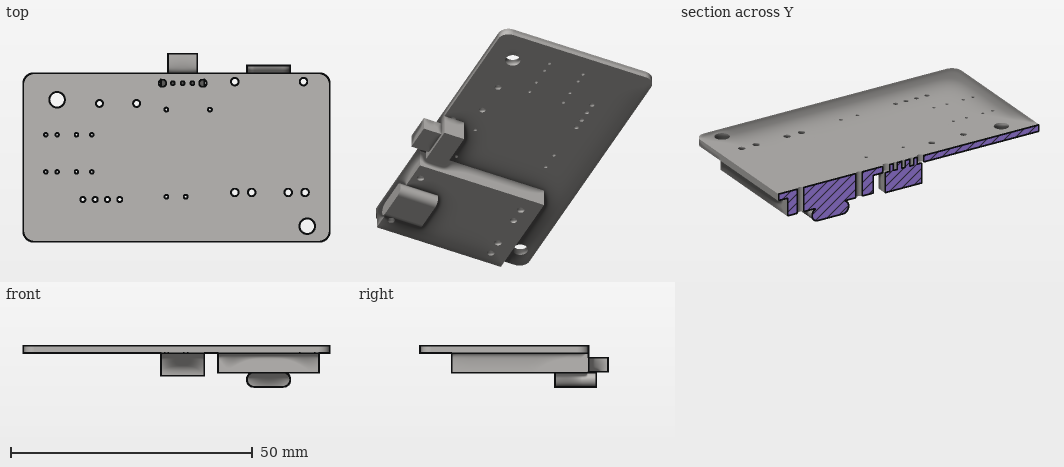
import cadquery as cq

BOARD_LENGTH = 63.5
BOARD_WIDTH = 34.9
BOARD_THICKNESS = 1.6
BOARD_CORNER_RADIUS = 2.3
BACK_EDGE = BOARD_WIDTH / 2

SWITCH_X = 1.3
SWITCH_LENGTH = 9.0
SWITCH_DEPTH = 4.5
SWITCH_HEIGHT = 4.7
LEVER_LENGTH = 6.1
LEVER_REACH = 4.0
LEVER_HEIGHT = 3.0
LEVER_TOP_DROP = 0.9

MODULE_X = 19.05
MODULE_LENGTH = 20.95
MODULE_DEPTH = 28.4
MODULE_HEIGHT = 4.05
SOCKET_LENGTH = 9.0
SOCKET_HEIGHT = 3.05
SOCKET_DEPTH = 8.6
SOCKET_OVERHANG = 1.6
SOCKET_EMBED = 0.1

MOUNTING_DIAMETER = 3.2
MOUNTING_CENTRES = [(-24.7, 11.95), (27.05, -14.2)]

TERMINAL_DIAMETER = 1.4
TERMINAL_CENTRES = [(-15.95, 11.2), (-8.25, 11.2)]

RESISTOR_DIAMETER = 0.7
RESISTOR_COLUMNS = [-27.05, -24.7, -20.7, -17.5]
RESISTOR_ROWS = [4.7, -3.0]

LEAD_DIAMETER = 0.75
LEAD_CENTRES = [(-2.1, 9.9), (6.9, 9.9), (-2.1, -8.1), (1.9, -8.1)]

HEADER_DIAMETER = 1.0
HEADER_X = -15.55
HEADER_Y = -8.7
HEADER_PITCH = 2.55
HEADER_PINS = 4

SWITCH_PIN_DIAMETER = 0.8
SWITCH_PIN_PITCH = 2.05
SWITCH_PINS = 3
SWITCH_TAB_DIAMETER = 1.5
SWITCH_TAB_SPACING = 8.3
SWITCH_PIN_Y = 15.35

MODULE_HOLE_DIAMETER = 1.5
MODULE_BACK_Y = 15.7
MODULE_BACK_COLUMNS = [12.05, 26.3]
MODULE_FRONT_Y = -7.25
MODULE_FRONT_COLUMNS = [12.05, 15.55, 23.1, 26.6]


def row(center_x, y, pitch, count):
    """Centres of equally spaced holes along X."""
    first_x = center_x - pitch * (count - 1) / 2
    return [(first_x + i * pitch, y) for i in range(count)]


def hanging_block(center_x, back_y, top_z, length, depth, height):
    """Box placed by the X middle, back face and top face."""
    block = cq.Workplane("XY").box(length, depth, height, centered=(True, False, False))
    return block.translate((center_x, back_y - depth, top_z - height))


def drill(body, centres, diameter, bottom_z=0.0):
    """Cut round holes from the board's top face down to bottom_z."""
    holes = cq.Workplane("XY", origin=(0, 0, bottom_z)).pushPoints(centres)
    return body.cut(holes.circle(diameter / 2).extrude(BOARD_THICKNESS - bottom_z))


def make_board():
    board = cq.Workplane("XY").box(
        BOARD_LENGTH, BOARD_WIDTH, BOARD_THICKNESS, centered=(True, True, False)
    )
    board = board.edges("|Z").fillet(BOARD_CORNER_RADIUS)
    board = drill(board, MOUNTING_CENTRES, MOUNTING_DIAMETER)
    board = drill(board, TERMINAL_CENTRES, TERMINAL_DIAMETER)
    resistor_centres = [(x, y) for x in RESISTOR_COLUMNS for y in RESISTOR_ROWS]
    board = drill(board, resistor_centres, RESISTOR_DIAMETER)
    board = drill(board, LEAD_CENTRES, LEAD_DIAMETER)
    header_centres = row(HEADER_X, HEADER_Y, HEADER_PITCH, HEADER_PINS)
    board = drill(board, header_centres, HEADER_DIAMETER)
    switch_pins = row(SWITCH_X, SWITCH_PIN_Y, SWITCH_PIN_PITCH, SWITCH_PINS)
    board = drill(board, switch_pins, SWITCH_PIN_DIAMETER)
    switch_tabs = row(SWITCH_X, SWITCH_PIN_Y, SWITCH_TAB_SPACING, 2)
    return drill(board, switch_tabs, SWITCH_TAB_DIAMETER)


def make_switch():
    body = hanging_block(SWITCH_X, BACK_EDGE, 0, SWITCH_LENGTH, SWITCH_DEPTH, SWITCH_HEIGHT)
    lever = hanging_block(
        SWITCH_X, BACK_EDGE + LEVER_REACH, -LEVER_TOP_DROP, LEVER_LENGTH, LEVER_REACH, LEVER_HEIGHT
    )
    return body.union(lever)


def make_charger():
    module = hanging_block(MODULE_X, BACK_EDGE, 0, MODULE_LENGTH, MODULE_DEPTH, MODULE_HEIGHT)
    socket_z = SOCKET_EMBED - MODULE_HEIGHT - SOCKET_HEIGHT / 2
    socket = (
        cq.Workplane("XZ", origin=(MODULE_X, BACK_EDGE + SOCKET_OVERHANG, socket_z))
        .slot2D(SOCKET_LENGTH, SOCKET_HEIGHT)
        .extrude(SOCKET_DEPTH)
    )
    return module.union(socket)


assembly = make_board().union(make_switch()).union(make_charger())

module_centres = [(x, MODULE_BACK_Y) for x in MODULE_BACK_COLUMNS]
module_centres += [(x, MODULE_FRONT_Y) for x in MODULE_FRONT_COLUMNS]
result = drill(assembly, module_centres, MODULE_HOLE_DIAMETER, -MODULE_HEIGHT)